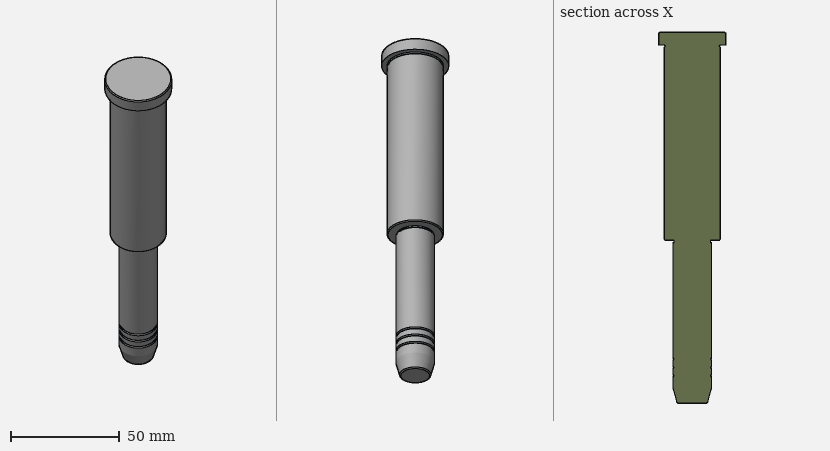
import cadquery as cq
import math

total_length = 171.0
head_radius = 31.0 / 2
head_height = 6.0
head_chamfer = 0.5
body_radius = 26.0 / 2
body_bottom = 75.0
body_chamfer = 0.5
pin_radius = 18.0 / 2

relief_width = 1.0
relief_depth = 0.5

head_relief_depth = 0.5

groove_count = 3
groove_depth = 0.5
lowest_groove_center = 12.7
highest_groove_center = 20.3
groove_pitch = (highest_groove_center - lowest_groove_center) / (groove_count - 1)

taper_height = 7.0
taper_angle = 15.0
tip_chamfer = 0.5


def cylinder(radius, bottom, top):
    """Solid cylinder on the Z axis between two heights."""
    return cq.Workplane("XY").workplane(offset=bottom).circle(radius).extrude(top - bottom)


def ring_cut(shaft_radius, depth, bottom, width):
    """Ring that cuts a square groove into a shaft."""
    outer = cylinder(shaft_radius, bottom, bottom + width)
    return outer.cut(cylinder(shaft_radius - depth, bottom, bottom + width))


def v_ring_cut(shaft_radius, depth, height):
    """Ring of triangular section that cuts a 90-degree V groove into a shaft."""
    section = (
        cq.Workplane("XZ")
        .moveTo(shaft_radius - depth, height)
        .lineTo(shaft_radius + depth, height + 2 * depth)
        .lineTo(shaft_radius + depth, height - 2 * depth)
        .close()
    )
    return section.revolve(360, (0, 0, 0), (0, 1, 0))


tip_radius = pin_radius - taper_height * math.tan(math.radians(taper_angle))
pin = (
    cq.Workplane("XZ")
    .moveTo(0, 0)
    .lineTo(tip_radius, 0)
    .lineTo(pin_radius, taper_height)
    .lineTo(pin_radius, body_bottom)
    .lineTo(0, body_bottom)
    .close()
    .revolve(360, (0, 0, 0), (0, 1, 0))
    .faces("<Z")
    .chamfer(tip_chamfer)
)
for index in range(groove_count):
    groove_center = lowest_groove_center + index * groove_pitch
    pin = pin.cut(v_ring_cut(pin_radius, groove_depth, groove_center))
pin = pin.cut(ring_cut(pin_radius, relief_depth, body_bottom - relief_width, relief_width))

head_bottom = total_length - head_height
body = cylinder(body_radius, body_bottom, head_bottom).faces("<Z").chamfer(body_chamfer)
body = body.cut(v_ring_cut(body_radius, head_relief_depth, head_bottom - head_relief_depth))

head = cylinder(head_radius, head_bottom, total_length).faces(">Z").chamfer(head_chamfer)

result = pin.union(body).union(head)